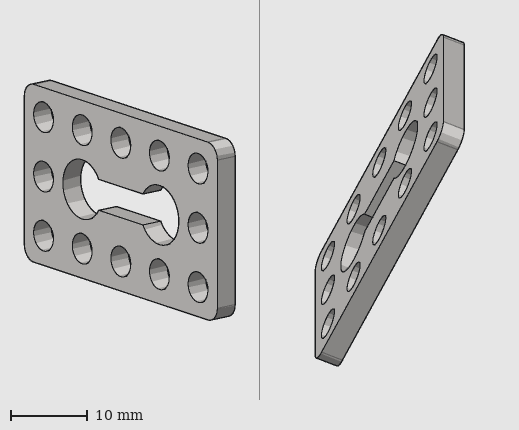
import cadquery as cq

pitch = 8.0
columns = 5
rows = 3
length = columns * pitch
height = rows * pitch
thickness = 3.0
corner_radius = pitch / 4

hole_diameter = 4.1
end_opening_diameter = pitch
end_opening_spacing = 2 * pitch
slot_height = 4.15


def grid_hole_centers():
    """Centres of the outer ring of grid positions, leaving the middle free."""
    centers = []
    for column in range(columns):
        for row in range(rows):
            on_rim = column in (0, columns - 1) or row in (0, rows - 1)
            if on_rim:
                x = (column - (columns - 1) / 2) * pitch
                z = (row - (rows - 1) / 2) * pitch
                centers.append((x, z))
    return centers


def make_plate():
    """Rounded rectangular plate, centred on the origin."""
    return cq.Workplane("XY").box(length, thickness, height).edges("|Y").fillet(corner_radius)


def cut_grid_holes(plate):
    """Drill the ring of small holes through the plate."""
    holes = plate.faces("<Y").workplane(origin=(0, 0, 0)).pushPoints(grid_hole_centers())
    return holes.hole(hole_diameter)


def cut_central_opening(plate):
    """Cut two large round openings joined by a straight slot."""
    slot = cq.Workplane("XY").box(end_opening_spacing, thickness, slot_height)
    end_centers = [(-end_opening_spacing / 2, 0), (end_opening_spacing / 2, 0)]
    ends = (
        cq.Workplane("XZ")
        .pushPoints(end_centers)
        .circle(end_opening_diameter / 2)
        .extrude(thickness / 2, both=True)
    )
    return plate.cut(slot).cut(ends)


result = cut_central_opening(cut_grid_holes(make_plate()))